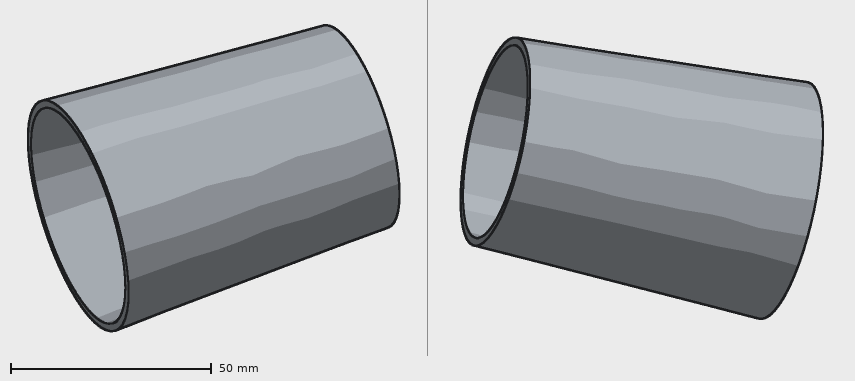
import cadquery as cq

length = 76.0
large_diameter = 60.3
small_diameter = 53.0
wall = 2.0

large_radius = large_diameter / 2
small_radius = small_diameter / 2

wall_section = (
    cq.Workplane("XY")
    .moveTo(large_radius - wall, 0)
    .lineTo(large_radius, 0)
    .lineTo(small_radius, length)
    .lineTo(small_radius - wall, length)
    .close()
)

result = wall_section.revolve(360, (0, 0, 0), (0, 1, 0))